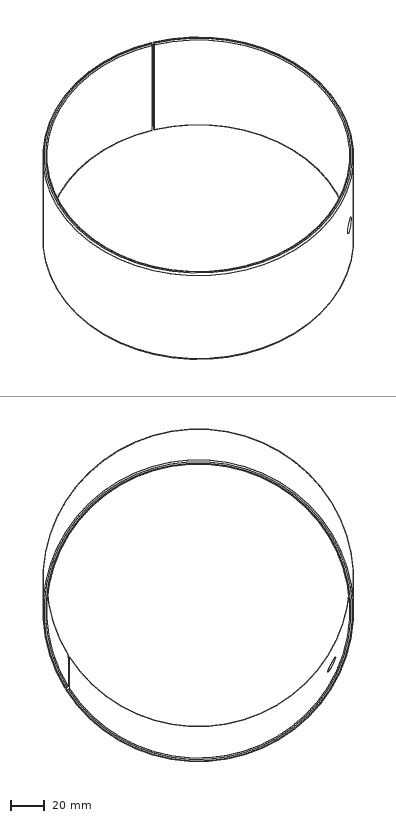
import cadquery as cq

outer_diameter = 185.0
height = 80.0
wall = 2.4
outer_bevel_height = 1.7
inner_bevel_height = 0.7
outer_bevel_depth = 0.7
inner_bevel_depth = 0.7
slit_width = 1.5
hole_diameter = 10.0
hole_angle = 59.0

outer_radius = outer_diameter / 2
inner_radius = outer_radius - wall


def bevelled_ring():
    """Revolve the wall section, bevelled at all four rim edges."""
    section = [
        (inner_radius, inner_bevel_height),
        (inner_radius + inner_bevel_depth, 0),
        (outer_radius - outer_bevel_depth, 0),
        (outer_radius, outer_bevel_height),
        (outer_radius, height - outer_bevel_height),
        (outer_radius - outer_bevel_depth, height),
        (inner_radius + inner_bevel_depth, height),
        (inner_radius, height - inner_bevel_height),
    ]
    return cq.Workplane("XZ").polyline(section).close().revolve(360, (0, 0), (0, 1))


def slit_cutter():
    """Full-height slit through the -X wall, with one face on the XZ plane."""
    return cq.Workplane("XY").box(
        outer_diameter, slit_width, height, centered=(True, False, False)
    ).translate((-outer_radius, 0, 0))


def hole_cutter():
    """Radial hole through one wall at mid height."""
    return (
        cq.Workplane("YZ")
        .center(0, height / 2)
        .circle(hole_diameter / 2)
        .extrude(outer_diameter)
        .rotate((0, 0, 0), (0, 0, 1), hole_angle)
    )


result = bevelled_ring().cut(slit_cutter()).cut(hole_cutter())